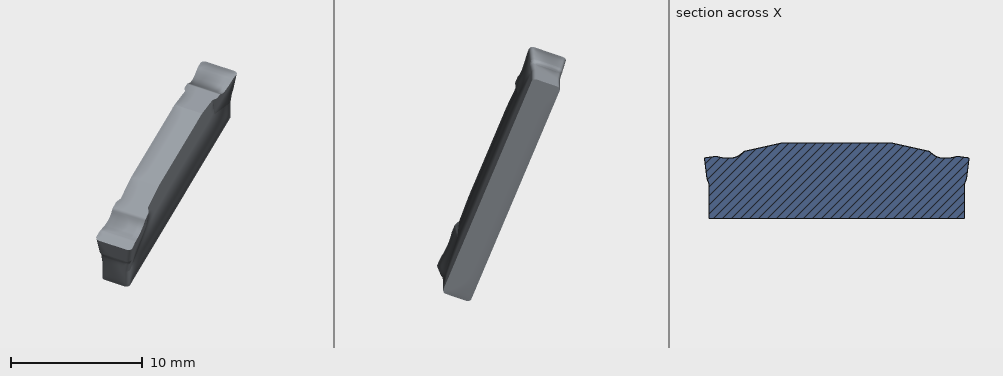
import cadquery as cq
import math


length = 20.17
body_height = 5.78
body_width = 2.28

body_end_inset = 0.36
relief_bottom_height = 2.56
relief_top = (0.20, 3.05)
tip_height = 4.63

land_end = (0.75, 4.725)
land_crest = (0.88, 4.735)
crest_end = (1.00, 4.725)
groove_start = (1.24, 4.67)
groove_floor_start = (1.60, 4.615)
groove_floor_end = (1.91, 4.61)
groove_exit = (2.93, 5.03)
ramp_start = (3.19, 5.16)
crown_start = (5.98, body_height)

flare_foot = (0.69, 1.71)
flare_heel = (3.63, 3.36)
shoulder_top = (4.04, 5.35)
flare_angle = 7.3
shoulder_angle = 30.0

end_corner_radius = 0.31
shoulder_radius = 0.25

stock_width = 4.0
prism_reach = 15.0
prism_depth_below = 1.0
prism_depth_above = 4.5

selection_margin = 0.1


def slope_vector(start, end):
    return (end[0] - start[0], end[1] - start[1])


def half_profile(width):
    """Side outline of the -Y half, extruded symmetrically about X = 0."""

    def at(point):
        return (point[0] - length / 2, point[1])

    tip_face = slope_vector(relief_top, (0, tip_height))
    outline = (
        cq.Workplane("YZ", origin=(-width / 2, 0, 0))
        .moveTo(0, 0)
        .lineTo(*at((body_end_inset, 0)))
        .lineTo(*at((body_end_inset, relief_bottom_height)))
        .spline([at(relief_top)], tangents=[(0, 1), tip_face], includeCurrent=True)
        .lineTo(*at((0, tip_height)))
        .lineTo(*at(land_end))
        .threePointArc(at(land_crest), at(crest_end))
        .lineTo(*at(groove_start))
        .tangentArcPoint(at(groove_floor_start), relative=False)
        .lineTo(*at(groove_floor_end))
        .tangentArcPoint(at(groove_exit), relative=False)
        .tangentArcPoint(at(ramp_start), relative=False)
        .lineTo(*at(crown_start))
        .lineTo(0, body_height)
        .close()
    )
    return outline.extrude(width)


def leaning_prism(start, end, angle):
    """Prism along the line start-end whose two sides lean outward from the body sides at that line."""
    run, rise = slope_vector(start, end)
    plane = cq.Plane(
        origin=(0, start[0] - length / 2, start[1]),
        xDir=(1, 0, 0),
        normal=(0, -run, -rise),
    )
    lean = math.tan(math.radians(angle))
    narrow = body_width / 2 - prism_depth_below * lean
    wide = body_width / 2 + prism_depth_above * lean
    section = [
        (-narrow, -prism_depth_below),
        (narrow, -prism_depth_below),
        (wide, prism_depth_above),
        (-wide, prism_depth_above),
    ]
    return cq.Workplane(plane).polyline(section).close().extrude(prism_reach, both=True)


def edges_beside(solid, inset_range, height_range):
    """Edges on either flank whose centres lie within the given inset and height ranges."""
    y_range = [inset - length / 2 for inset in inset_range]
    flanks = [
        cq.selectors.BoxSelector(
            (side * body_width / 4, y_range[0], height_range[0]),
            (side * stock_width, y_range[1], height_range[1]),
        )
        for side in (-1, 1)
    ]
    return solid.edges(flanks[0] + flanks[1])


def round_end_corners(solid):
    """Round the upright edges between the end face and the sides."""
    inset_range = (0, body_end_inset + selection_margin)
    corners = edges_beside(solid, inset_range, (0, tip_height - selection_margin))
    return corners.fillet(end_corner_radius)


def body_half():
    """Slim body from the plane of its lower end face to the middle of the part."""
    end_y = body_end_inset - length / 2
    trim = cq.Workplane("XY", origin=(0, end_y, 0)).box(
        stock_width, -end_y, body_height, centered=(True, False, False)
    )
    return round_end_corners(half_profile(body_width).intersect(trim))


def flared_head():
    """Cutting head at the -Y end, wider than the body and blended back into it by angled shoulders."""
    sides = leaning_prism(flare_foot, flare_heel, flare_angle)
    shoulders = leaning_prism(flare_heel, shoulder_top, shoulder_angle)
    head = half_profile(stock_width).intersect(sides).intersect(shoulders)
    head = round_end_corners(head)
    inset_range = (flare_heel[0] - selection_margin, flare_heel[0] + selection_margin)
    ridges = edges_beside(head, inset_range, (flare_heel[1], ramp_start[1] - selection_margin))
    return ridges.fillet(shoulder_radius)


half = body_half().union(flared_head())
result = half.union(half.mirror("XZ")).clean()